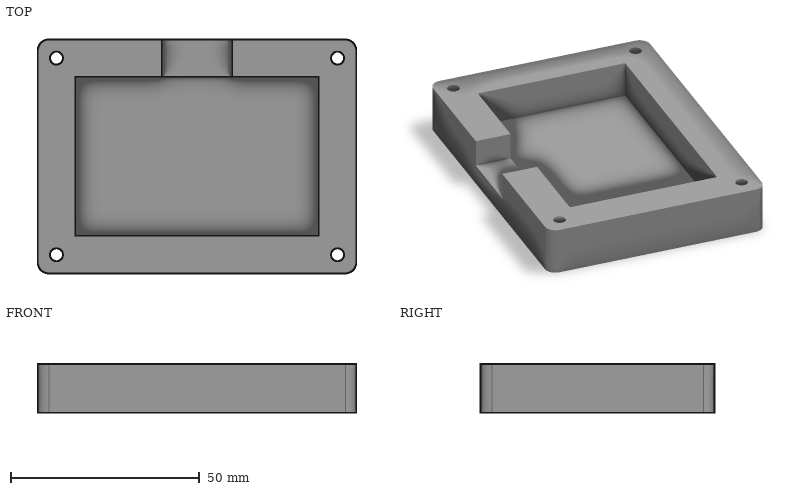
import cadquery as cq

length = 84.4
width = 62.0
height = 13.0
corner_diameter = 6.0

wall = 10.0
pocket_depth = 10.0
pocket_length = length - 2 * wall
pocket_width = width - 2 * wall

notch_width = 18.6
notch_depth = 7.5

hole_diameter = 3.4
hole_inset = 5.0


def make_body():
    """Plate with rounded vertical edges, standing on Z = 0."""
    plate = cq.Workplane("XY").box(length, width, height, centered=(True, True, False))
    return plate.edges("|Z").fillet(corner_diameter / 2)


def cut_pocket(body):
    """Sink the central pocket from the top face."""
    return body.faces(">Z").workplane().rect(pocket_length, pocket_width).cutBlind(-pocket_depth)


def cut_notch(body):
    """Open the +Y wall from the pocket to the outside."""
    notch = cq.Workplane("XY").box(notch_width, wall, notch_depth)
    notch_y = (width - wall) / 2
    notch_z = height - notch_depth / 2
    return body.cut(notch.translate((0, notch_y, notch_z)))


def cut_corner_holes(body):
    """Drill one through hole near each corner."""
    spacing_x = length - 2 * hole_inset
    spacing_y = width - 2 * hole_inset
    holes = (
        cq.Workplane("XY")
        .rect(spacing_x, spacing_y, forConstruction=True)
        .vertices()
        .circle(hole_diameter / 2)
        .extrude(height)
    )
    return body.cut(holes)


result = cut_corner_holes(cut_notch(cut_pocket(make_body())))